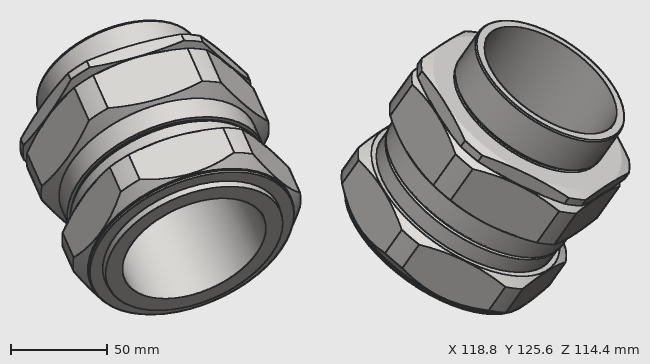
import cadquery as cq
import math


ACROSS_FLATS = 114.4
CORNER_RADIUS = 62.8
NUT_FACE_RADIUS = 56.9
ACROSS_SHARP_CORNERS = ACROSS_FLATS / math.cos(math.pi / 6)

SPIGOT_RADIUS = 45.0
SPIGOT_CHAMFER_LENGTH = 1.0
SPIGOT_CHAMFER_DEPTH = 0.5
SPIGOT_THREAD_END = 21.6
RELIEF_BOTTOM = 23.0
RELIEF_RADIUS = 43.6
RELIEF_END_RADIUS = 44.4

LOCKNUT_START = 23.8
LOCKNUT_CHAMFER = 1.9
LOCKNUT_END = 31.9
BODY_NUT_START = LOCKNUT_END
BODY_NUT_START_CHAMFER = 3.5
BODY_NUT_END_CHAMFER = 4.6
BODY_NUT_END = 62.8
CAP_NUT_START = 87.0
CAP_NUT_START_CHAMFER = 3.4
CAP_NUT_END_CHAMFER = 5.8
CAP_NUT_END = 113.2

REAR_SLEEVE_RADIUS = 54.7
FRONT_SLEEVE_RADIUS = 53.9
GROOVE_RADIUS = 52.5
GROOVE_START = 75.7
GROOVE_END = 76.4
GROOVE_CHAMFER_LENGTH = 1.4

COLLAR_RADIUS = 56.8
COLLAR_END = 115.2
COLLAR_CHAMFER_LENGTH = 1.0
COLLAR_CHAMFER_DEPTH = 0.5
TUBE_ROOT_RADIUS = 49.3
TUBE_END_RADIUS = 48.9
TOTAL_LENGTH = 118.8

ENTRY_BORE_RADIUS = 40.0
INNER_BORE_RADIUS = 39.6
ENTRY_BORE_DEPTH = 48.4


def turned(*stations):
    """Solid of revolution about X through (x, radius) stations."""
    profile = [(stations[0][0], 0), *stations, (stations[-1][0], 0)]
    return cq.Workplane("XY").polyline(profile).close().revolve(360, (0, 0, 0), (1, 0, 0))


def nut(start, start_chamfer, end, end_chamfer, end_radius):
    """Hexagonal nut with turned corners and a conical chamfer on both ends."""
    hexagon = (
        cq.Workplane("YZ", origin=(start, 0, 0))
        .polygon(6, ACROSS_SHARP_CORNERS)
        .extrude(end - start)
    )
    envelope = turned(
        (start, NUT_FACE_RADIUS),
        (start + start_chamfer, CORNER_RADIUS),
        (end - end_chamfer, CORNER_RADIUS),
        (end, end_radius),
    )
    return hexagon.intersect(envelope)


spigot = turned(
    (0, SPIGOT_RADIUS - SPIGOT_CHAMFER_DEPTH),
    (SPIGOT_CHAMFER_LENGTH, SPIGOT_RADIUS),
    (SPIGOT_THREAD_END, SPIGOT_RADIUS),
    (RELIEF_BOTTOM, RELIEF_RADIUS),
    (LOCKNUT_START, RELIEF_END_RADIUS),
)

locknut = nut(LOCKNUT_START, LOCKNUT_CHAMFER, LOCKNUT_END, LOCKNUT_CHAMFER, NUT_FACE_RADIUS)
body_nut = nut(
    BODY_NUT_START, BODY_NUT_START_CHAMFER, BODY_NUT_END, BODY_NUT_END_CHAMFER, REAR_SLEEVE_RADIUS
)
cap_nut = nut(CAP_NUT_START, CAP_NUT_START_CHAMFER, CAP_NUT_END, CAP_NUT_END_CHAMFER, COLLAR_RADIUS)

sleeve = turned(
    (BODY_NUT_END, REAR_SLEEVE_RADIUS),
    (GROOVE_START, REAR_SLEEVE_RADIUS),
    (GROOVE_START, GROOVE_RADIUS),
    (GROOVE_END, GROOVE_RADIUS),
    (GROOVE_END + GROOVE_CHAMFER_LENGTH, FRONT_SLEEVE_RADIUS),
    (CAP_NUT_START, FRONT_SLEEVE_RADIUS),
)

end_tube = turned(
    (CAP_NUT_END, COLLAR_RADIUS),
    (COLLAR_END - COLLAR_CHAMFER_LENGTH, COLLAR_RADIUS),
    (COLLAR_END, COLLAR_RADIUS - COLLAR_CHAMFER_DEPTH),
    (COLLAR_END, TUBE_ROOT_RADIUS),
    (TOTAL_LENGTH, TUBE_END_RADIUS),
)

bore = turned(
    (0, ENTRY_BORE_RADIUS),
    (ENTRY_BORE_DEPTH, ENTRY_BORE_RADIUS),
    (ENTRY_BORE_DEPTH, INNER_BORE_RADIUS),
    (TOTAL_LENGTH, INNER_BORE_RADIUS),
)

outside = spigot
for section in (locknut, body_nut, sleeve, cap_nut, end_tube):
    outside = outside.union(section)

result = outside.cut(bore)